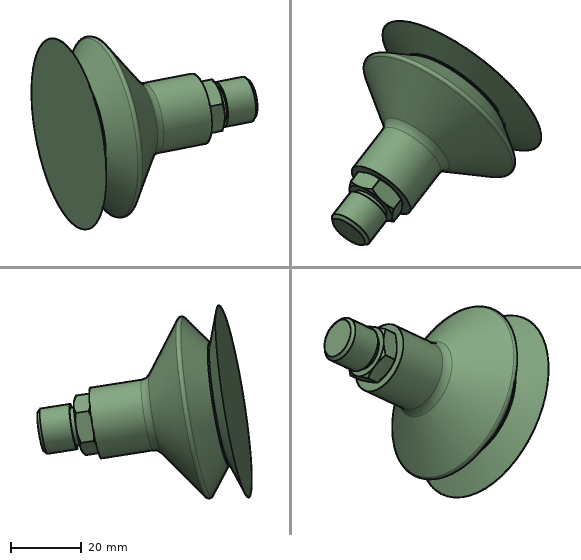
import cadquery as cq
import math

total_length = 56.0

lip_diameter = 55.5
waist_diameter = 34.6
waist_y = 3.85
waist_radius = 0.3
bulge_diameter = 53.75
bulge_y = 11.15
bulge_radius = 0.9

sleeve_diameter = 20.5
sleeve_base_y = 23.45
sleeve_end_y = 40.0
sleeve_base_radius = 3.0

hex_across_flats = 15.0
hex_end_y = 45.0
hex_chamfer_angle = 30.0
relief_diameter = 11.0
thread_diameter = 13.15
thread_start_y = 46.5
thread_chamfer = 0.95


def cylinder(diameter, start_y, end_y):
    """Solid cylinder on the Y axis."""
    base = cq.Workplane("XZ", origin=(0, start_y, 0))
    return base.circle(diameter / 2).extrude(start_y - end_y)


def revolve_outline(points):
    """Revolve a closed outline of (radius, y) points about the Y axis."""
    outline = cq.Workplane("XY").polyline(points).close()
    return outline.revolve(360, (0, 0, 0), (0, 1, 0))


def round_circle(body, y, radius):
    """Round the circular edge whose plane is at the given Y."""
    half_band = 0.05
    reach = lip_diameter
    band = cq.selectors.BoxSelector((-reach, y - half_band, -reach), (reach, y + half_band, reach))
    return body.edges("%CIRCLE").edges(band).fillet(radius)


def make_bellows():
    body = revolve_outline([
        (0, 0),
        (lip_diameter / 2, 0),
        (waist_diameter / 2, waist_y),
        (bulge_diameter / 2, bulge_y),
        (sleeve_diameter / 2, sleeve_base_y),
        (sleeve_diameter / 2, sleeve_end_y),
        (0, sleeve_end_y),
    ])
    body = round_circle(body, waist_y, waist_radius)
    body = round_circle(body, bulge_y, bulge_radius)
    return round_circle(body, sleeve_base_y, sleeve_base_radius)


def make_hexagon():
    """Hexagon with two flats facing +X and -X and conical chamfers at both ends."""
    across_corners = hex_across_flats / math.cos(math.radians(30))
    height = hex_end_y - sleeve_end_y
    prism = (
        cq.Workplane("XZ", origin=(0, sleeve_end_y, 0))
        .transformed(rotate=(0, 0, 30))
        .polygon(6, across_corners)
        .extrude(-height)
    )
    flat_radius = hex_across_flats / 2
    corner_radius = across_corners / 2
    chamfer_height = (corner_radius - flat_radius) * math.tan(math.radians(hex_chamfer_angle))
    envelope = revolve_outline([
        (0, sleeve_end_y),
        (flat_radius, sleeve_end_y),
        (corner_radius, sleeve_end_y + chamfer_height),
        (corner_radius, hex_end_y - chamfer_height),
        (flat_radius, hex_end_y),
        (0, hex_end_y),
    ])
    return prism.intersect(envelope)


def make_thread():
    thread = cylinder(thread_diameter, thread_start_y, total_length)
    return thread.faces(">Y").chamfer(thread_chamfer)


relief = cylinder(relief_diameter, hex_end_y, thread_start_y)
result = make_bellows().union(make_hexagon()).union(relief).union(make_thread())